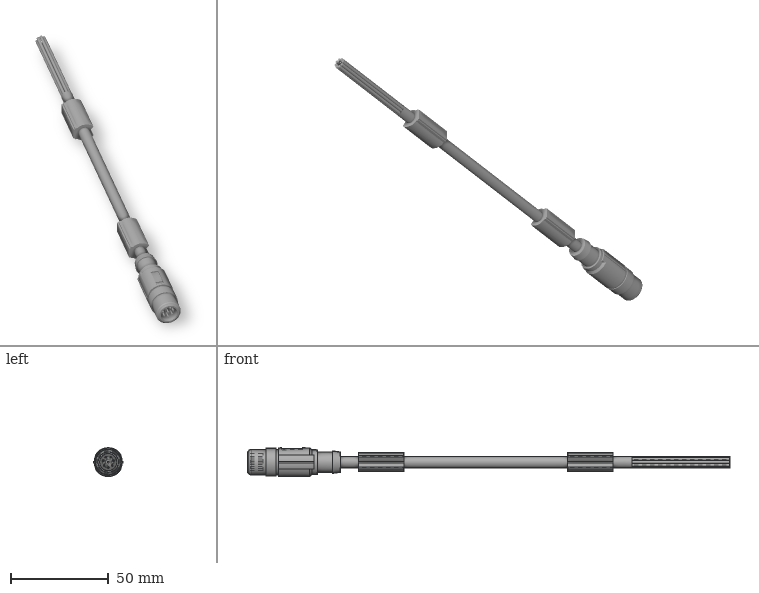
import cadquery as cq
import math

total_length = 247.3
front_x = -total_length / 2
overall_width = 15.0
overall_height = 14.77

plug_radius = 6.5
mouth_radius = 5.2
mouth_chamfer = 0.7
mouth_round_end = 2.0

ring_start = 9.4
ring_end = 14.7
ring_radius = 7.2
neck_radius = 6.6

grip_start = 16.0
grip_taper_start = 31.8
grip_taper_end = 33.0
grip_end = 34.2
grip_radius = overall_height / 2
grip_side_half_height = 3.6
grip_side_radius = 7.05
grip_rib_reach = overall_width / 2
grip_rib_height = 0.7

pocket_start = 17.3
pocket_end = 28.3
pocket_width = 4.0
pocket_floor_z = 6.6
well_length = 2.6
well_floor_z = 6.2
rung_width = 0.5

shoulder_radius = 6.35
shoulder_end = 35.8
relief_radius = 5.2
collar_start = 43.6
collar_radius = 5.8
relief_end = 47.6

cavity_radius = 4.4
cavity_depth = 8.0
pin_radius = 0.4
pin_circle_radius = 2.75
outer_pin_count = 7
pin_recess = 1.5

cable_radius = 2.95
wire_start = 197.0
wire_radius = 0.76
wire_count = 8
wire_circle_radius = cable_radius - wire_radius

clip_length = 23.3
clip_starts = (56.8, 164.1)
clip_radius = 4.85
throat_half_height = 0.3
throat_y = -2.85
lip_root_y = -0.3
lip_middle = (-2.8, 4.3)
lip_shoulder = (-4.5, 3.4)
lip_tip = (-5.0, 2.6)
holder_step_y = 4.8
holder_outer_y = 5.6
holder_half_height = 3.45
plate_half_height = 2.8


def section(distance):
    """Workplane across the axis, its local x along Y and its local y along Z."""
    return cq.Workplane("YZ", origin=(front_x + distance, 0, 0))


def rod(start, end, radius, y=0, z=0):
    return section(start).center(y, z).circle(radius).extrude(end - start)


def cone(start, end, start_radius, end_radius):
    outline = [(start, 0), (start, start_radius), (end, end_radius), (end, 0)]
    profile = cq.Workplane("XZ", origin=(front_x, 0, 0)).polyline(outline).close()
    return profile.revolve(360, (0, 0, 0), (1, 0, 0))


def bar(start, end, y_min, y_max, z_min, z_max):
    size = (end - start, y_max - y_min, z_max - z_min)
    return cq.Workplane("XY").box(*size, centered=False).translate((front_x + start, y_min, z_min))


def polar_points(radius, count, first_angle):
    angles = [first_angle + 2 * math.pi * index / count for index in range(count)]
    return [(radius * math.cos(angle), radius * math.sin(angle)) for angle in angles]


def make_plug():
    chamfer_radius = mouth_radius + mouth_chamfer
    halfway = math.sin(math.pi / 4)
    round_middle = (
        mouth_round_end - (mouth_round_end - mouth_chamfer) * halfway,
        chamfer_radius + (plug_radius - chamfer_radius) * halfway,
    )
    profile = (
        cq.Workplane("XZ", origin=(front_x, 0, 0))
        .lineTo(0, mouth_radius)
        .lineTo(mouth_chamfer, chamfer_radius)
        .threePointArc(round_middle, (mouth_round_end, plug_radius))
        .lineTo(ring_start, plug_radius)
        .lineTo(ring_start, 0)
        .close()
    )
    plug = profile.revolve(360, (0, 0, 0), (1, 0, 0))
    plug = plug.cut(rod(0, cavity_depth, cavity_radius))
    pin_places = [(0, 0)] + polar_points(pin_circle_radius, outer_pin_count, -math.pi / 2)
    for y, z in pin_places:
        plug = plug.union(rod(pin_recess, ring_start, pin_radius, y, z))
    return plug


def side_bar(half_height):
    """Bar through the whole grip, reaching its full width at +Y and -Y."""
    return bar(grip_start, grip_end, -grip_rib_reach, grip_rib_reach, -half_height, half_height)


def make_grip():
    grip = rod(grip_start, grip_taper_start, grip_radius)
    grip = grip.union(cone(grip_taper_start, grip_taper_end, grip_radius, shoulder_radius))
    side_band = side_bar(grip_side_half_height)
    grip = grip.cut(side_band).union(rod(grip_start, grip_end, grip_side_radius).intersect(side_band))
    return grip.union(side_bar(grip_rib_height / 2))


def cut_pocket(grip):
    half_width = pocket_width / 2
    well_end = pocket_start + well_length
    pocket = bar(pocket_start, pocket_end, -half_width, half_width, pocket_floor_z, grip_radius)
    well = bar(pocket_start, well_end, -half_width, half_width, well_floor_z, grip_radius)
    rung_start = pocket_start + (well_length - rung_width) / 2
    rung = bar(rung_start, rung_start + rung_width, -half_width, half_width, well_floor_z, pocket_floor_z)
    return grip.cut(pocket).cut(well).union(rung)


def make_strain_relief():
    relief = rod(grip_taper_end, shoulder_end, shoulder_radius)
    relief = relief.union(rod(shoulder_end, collar_start, relief_radius))
    return relief.union(cone(collar_start, relief_end, collar_radius, relief_radius))


def make_cable():
    cable = rod(grip_end, wire_start, cable_radius)
    for y, z in polar_points(wire_circle_radius, wire_count, 0):
        cable = cable.union(rod(wire_start - wire_radius, total_length, wire_radius, y, z))
    return cable


def mirrored(point):
    """The same point on the -Z side of a clip section."""
    return (point[0], -point[1])


def make_clip(start):
    """Snap-on sleeve: a funnel-shaped mouth towards -Y and a label holder towards +Y."""
    end = start + clip_length
    lip_root = (lip_root_y, math.sqrt(clip_radius**2 - lip_root_y**2))
    outline = (
        section(start)
        .moveTo(*lip_tip)
        .lineTo(*lip_shoulder)
        .threePointArc(lip_middle, lip_root)
        .threePointArc((clip_radius, 0), mirrored(lip_root))
        .threePointArc(mirrored(lip_middle), mirrored(lip_shoulder))
        .lineTo(*mirrored(lip_tip))
        .lineTo(throat_y, -throat_half_height)
        .lineTo(0, -throat_half_height)
        .lineTo(0, throat_half_height)
        .lineTo(throat_y, throat_half_height)
        .close()
    )
    clip = outline.extrude(clip_length)
    clip = clip.union(bar(start, end, 0, holder_step_y, -holder_half_height, holder_half_height))
    plate = bar(start, end, holder_step_y, holder_outer_y, -plate_half_height, plate_half_height)
    return clip.union(plate)


result = make_plug()
result = result.union(rod(ring_start, ring_end, ring_radius))
result = result.union(rod(ring_end, grip_start, neck_radius))
result = result.union(cut_pocket(make_grip()))
result = result.union(make_strain_relief())
for clip_start in clip_starts:
    result = result.union(make_clip(clip_start))
result = result.union(make_cable())